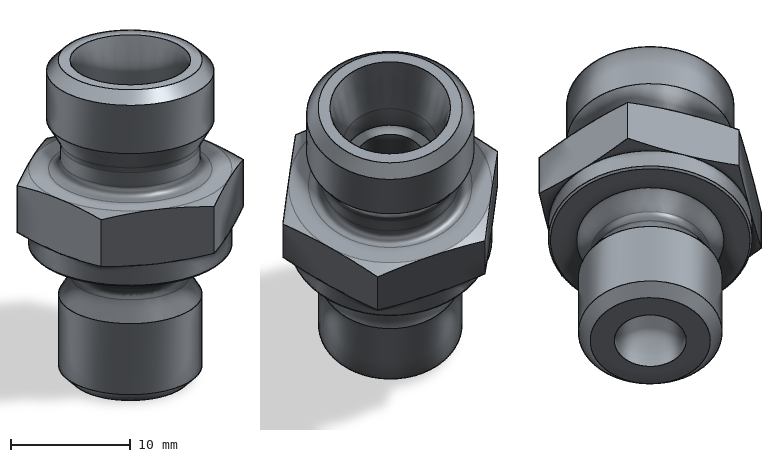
import cadquery as cq
import math

total_height = 29.0
lower_thread_top = 7.5
lower_neck_height = 9.77
collar_bottom = 12.0
hex_bottom = 14.0
hex_top = 19.0
upper_neck_top = 21.58
upper_thread_bottom = 23.58

lower_thread_diameter = 12.0
lower_neck_diameter = 9.37
lower_cone_diameter = 12.3
collar_diameter = 17.02
across_flats = 17.0
upper_neck_diameter = 11.7
upper_thread_diameter = 14.0
bore_diameter = 6.0
socket_diameter = 8.0
socket_mouth_diameter = 10.05

thread_chamfer = 1.0
collar_chamfer = 0.17
neck_fillet = 1.0
socket_depth = 7.0
socket_half_angle = 12.0
hex_chamfer_angle = 15.0

edge_tolerance = 0.03


def turned_body():
    """Threaded ends, necks and collar, with a core through the hexagon."""
    lower_thread = lower_thread_diameter / 2
    collar = collar_diameter / 2
    upper_neck = upper_neck_diameter / 2
    upper_thread = upper_thread_diameter / 2
    profile = (
        cq.Workplane("XZ")
        .lineTo(lower_thread - thread_chamfer, 0)
        .lineTo(lower_thread, thread_chamfer)
        .lineTo(lower_thread, lower_thread_top)
        .lineTo(lower_neck_diameter / 2, lower_neck_height)
        .lineTo(lower_cone_diameter / 2, collar_bottom)
        .lineTo(collar - collar_chamfer, collar_bottom)
        .lineTo(collar, collar_bottom + collar_chamfer)
        .lineTo(collar, hex_bottom)
        .lineTo(upper_neck, hex_bottom)
        .lineTo(upper_neck, upper_neck_top)
        .lineTo(upper_thread, upper_thread_bottom)
        .lineTo(upper_thread, total_height - thread_chamfer)
        .lineTo(upper_thread - thread_chamfer, total_height)
        .lineTo(0, total_height)
        .close()
    )
    return profile.revolve(360, (0, 0), (0, 1))


def hexagon():
    """Wrench hexagon with corners on the Y axis, chamfered at both ends."""
    flat_radius = across_flats / 2
    corner_radius = flat_radius / math.cos(math.radians(30))
    corner_drop = (corner_radius - flat_radius) * math.tan(math.radians(hex_chamfer_angle))
    prism = (
        cq.Workplane("XY", origin=(0, 0, hex_bottom))
        .polygon(6, 2 * corner_radius)
        .extrude(hex_top - hex_bottom)
        .rotate((0, 0, 0), (0, 0, 1), 30)
    )
    envelope = (
        cq.Workplane("XZ")
        .moveTo(0, hex_bottom)
        .lineTo(flat_radius, hex_bottom)
        .lineTo(corner_radius, hex_bottom + corner_drop)
        .lineTo(corner_radius, hex_top - corner_drop)
        .lineTo(flat_radius, hex_top)
        .lineTo(0, hex_top)
        .close()
        .revolve(360, (0, 0), (0, 1))
    )
    return prism.intersect(envelope)


def stepped_bore():
    """Through bore opening into a socket with a tapered mouth at the top."""
    bore = bore_diameter / 2
    socket = socket_diameter / 2
    mouth = socket_mouth_diameter / 2
    taper_depth = (mouth - socket) / math.tan(math.radians(socket_half_angle))
    return (
        cq.Workplane("XZ")
        .lineTo(bore, 0)
        .lineTo(bore, total_height - socket_depth)
        .lineTo(socket, total_height - socket_depth)
        .lineTo(socket, total_height - taper_depth)
        .lineTo(mouth, total_height)
        .lineTo(0, total_height)
        .close()
        .revolve(360, (0, 0), (0, 1))
    )


def circle_at(height, diameter):
    """Selector for the circular edge of this diameter at this height."""
    reach = diameter / 2 + edge_tolerance
    return cq.selectors.BoxSelector(
        (-reach, -reach, height - edge_tolerance),
        (reach, reach, height + edge_tolerance),
        boundingbox=True,
    )


def round_necks(body):
    """Fillet the inside corners of both necks."""
    neck_corners = [
        (lower_neck_height, lower_neck_diameter),
        (hex_top, upper_neck_diameter),
        (upper_neck_top, upper_neck_diameter),
    ]
    for height, diameter in neck_corners:
        body = body.edges(circle_at(height, diameter)).fillet(neck_fillet)
    return body


body = round_necks(turned_body().union(hexagon()))
result = body.cut(stepped_bore())